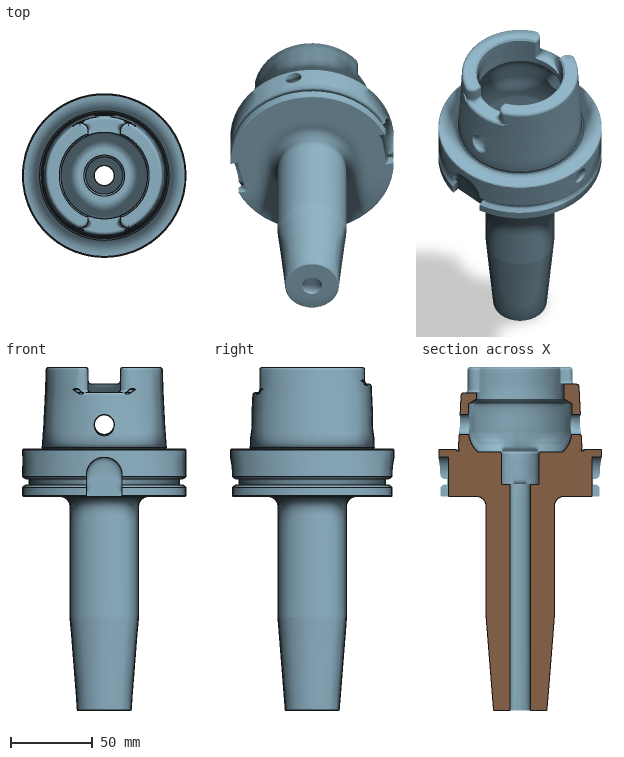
import cadquery as cq
import math


taper_height = 50.0
taper_base_radius = 38.0
taper_slope = 0.05
rim_fillet = 1.8

relief_top_z = 2.3
relief_lip_z = 1.0
relief_lip_radius = 38.0
relief_depth = 1.0
relief_neck_radius = 37.4
relief_outer_radius = 39.6

flange_radius = 50.0
flange_thickness = 29.0
flange_edge_chamfer = 0.5
groove_floor_radius = 46.0
groove_top_z = -18.3
groove_bottom_z = -21.8
groove_chamfer_radius = 48.0
groove_chamfer_height = 1.6

overall_reach = 160.0
shank_radius = 21.0
shank_fillet = 6.0
nose_radius = 16.5
nose_angle = 4.5
nose_chamfer = 0.5

bore_radius = 26.5
bore_end_z = 30.6
chamber_radius = 31.5
shoulder_angle = 30.0
arch_top_z = 11.0
arch_radius = 17.0
foot_angle = 45.0
foot_fillet = 2.0
bore_floor_z = (
    arch_top_z
    - (arch_radius - foot_fillet) * math.sin(math.radians(foot_angle))
    - foot_fillet
)
bore_mouth_chamfer = 1.0
tube_hole_radius = 11.4
tube_hole_chamfer = 1.1
tube_hole_depth = 20.0
through_hole_radius = 6.1

slot_half_width = 9.8
slot_corner_radius = 5.0
slot_shoulder_y = 32.1
slot_floor_fillet = 1.8
slot_floor_chamfer = 0.8
runout_half_width = 19.0
runout_floor_half_width = 14.0
runout_reach = 1.5
runout_rise = 4.0
slot_floors = {-1: 34.6, 1: 39.9}
selection_margin = 0.1

access_hole_radius = 6.0
access_hole_z = 15.0
access_countersink = 0.2

keyway_radius = 11.0
keyway_floor_y = 44.0
keyway_top_z = -5.0

chip_pocket_radius = 5.0
chip_pocket_z = -7.3
chip_pocket_depth = 5.0


def taper_radius(z):
    return taper_base_radius - taper_slope * z


def make_body():
    """Solid of revolution: taper, relief groove, flange, shank and nose."""
    flange_bottom = -flange_thickness
    nose_length = (shank_radius - nose_radius) / math.tan(math.radians(nose_angle))
    fillet_middle = shank_fillet * (1 - math.sqrt(0.5))
    profile = (
        cq.Workplane("XZ")
        .moveTo(0, taper_height)
        .lineTo(taper_radius(taper_height), taper_height)
        .lineTo(taper_radius(relief_top_z), relief_top_z)
        .lineTo(relief_lip_radius, relief_lip_z)
        .lineTo(relief_neck_radius, -relief_depth)
        .lineTo(relief_outer_radius - relief_depth, -relief_depth)
        .lineTo(relief_outer_radius, 0)
        .lineTo(flange_radius - flange_edge_chamfer, 0)
        .lineTo(flange_radius, -flange_edge_chamfer)
        .lineTo(flange_radius, groove_top_z + groove_chamfer_height)
        .lineTo(groove_chamfer_radius, groove_top_z)
        .lineTo(groove_floor_radius, groove_top_z)
        .lineTo(groove_floor_radius, groove_bottom_z)
        .lineTo(groove_chamfer_radius, groove_bottom_z)
        .lineTo(flange_radius, groove_bottom_z - groove_chamfer_height)
        .lineTo(flange_radius, flange_bottom + flange_edge_chamfer)
        .lineTo(flange_radius - flange_edge_chamfer, flange_bottom)
        .lineTo(shank_radius + shank_fillet, flange_bottom)
        .threePointArc(
            (shank_radius + fillet_middle, flange_bottom - fillet_middle),
            (shank_radius, flange_bottom - shank_fillet),
        )
        .lineTo(shank_radius, nose_length - overall_reach)
        .lineTo(nose_radius, nose_chamfer - overall_reach)
        .lineTo(nose_radius - nose_chamfer, -overall_reach)
        .lineTo(0, -overall_reach)
        .close()
    )
    seam_turn = -90
    return profile.revolve(360, (0, 0, 0), (0, 1, 0)).rotate((0, 0, 0), (0, 0, 1), seam_turn)


def make_slot_cutter(side, floor_z):
    """Driving slot on the -Y (side = -1) or +Y (side = 1) half of the rim."""
    corner_y = slot_shoulder_y - slot_corner_radius
    shoulder_x = slot_half_width + slot_corner_radius
    arc_offset = slot_corner_radius * (1 - math.sqrt(0.5))
    arc_x = slot_half_width + arc_offset
    arc_y = slot_shoulder_y - arc_offset
    cutter = (
        cq.Workplane("XY")
        .workplane(offset=floor_z)
        .moveTo(-slot_half_width, 0)
        .lineTo(-slot_half_width, side * corner_y)
        .threePointArc((-arc_x, side * arc_y), (-shoulder_x, side * slot_shoulder_y))
        .lineTo(-taper_base_radius, side * slot_shoulder_y)
        .lineTo(-taper_base_radius, side * flange_radius)
        .lineTo(taper_base_radius, side * flange_radius)
        .lineTo(taper_base_radius, side * slot_shoulder_y)
        .lineTo(shoulder_x, side * slot_shoulder_y)
        .threePointArc((arc_x, side * arc_y), (slot_half_width, side * corner_y))
        .lineTo(slot_half_width, 0)
        .close()
        .extrude(taper_height)
    )
    wall_feet = cq.selectors.BoxSelector(
        (-taper_base_radius + 1, side * 1, floor_z - 1),
        (taper_base_radius - 1, side * (slot_shoulder_y + 1), floor_z + 1),
    )
    return cutter.edges(wall_feet).fillet(slot_floor_fillet)


def make_bore():
    """Pocket for the clamping unit: a plain bore above a wider chamber with an arched, filleted foot."""
    shoulder_height = (chamber_radius - bore_radius) * math.tan(math.radians(shoulder_angle))
    cos_foot = math.cos(math.radians(foot_angle))
    sin_foot = math.sin(math.radians(foot_angle))
    half_turn = math.radians(foot_angle / 2)
    arch_middle = (
        chamber_radius - arch_radius * (1 - math.cos(half_turn)),
        arch_top_z - arch_radius * math.sin(half_turn),
    )
    arch_end = (
        chamber_radius - arch_radius * (1 - cos_foot),
        arch_top_z - arch_radius * sin_foot,
    )
    fillet_center = (
        arch_end[0] - foot_fillet * cos_foot,
        bore_floor_z + foot_fillet,
    )
    fillet_turn = math.radians((90 + foot_angle) / 2)
    fillet_middle = (
        fillet_center[0] + foot_fillet * math.cos(fillet_turn),
        fillet_center[1] - foot_fillet * math.sin(fillet_turn),
    )
    return (
        cq.Workplane("XZ")
        .moveTo(0, taper_height)
        .lineTo(bore_radius, taper_height)
        .lineTo(bore_radius, bore_end_z)
        .lineTo(chamber_radius, bore_end_z - shoulder_height)
        .lineTo(chamber_radius, arch_top_z)
        .threePointArc(arch_middle, arch_end)
        .threePointArc(fillet_middle, (fillet_center[0], bore_floor_z))
        .lineTo(0, bore_floor_z)
        .close()
        .revolve(360, (0, 0, 0), (0, 1, 0))
    )


def make_bore_mouth():
    """Chamfer of the bore at the rim."""
    return (
        cq.Workplane("XZ")
        .moveTo(0, taper_height)
        .lineTo(bore_radius + bore_mouth_chamfer, taper_height)
        .lineTo(bore_radius, taper_height - bore_mouth_chamfer)
        .lineTo(0, taper_height - bore_mouth_chamfer)
        .close()
        .revolve(360, (0, 0, 0), (0, 1, 0))
    )


def make_coolant_bore():
    """Coolant tube hole in the pocket floor and the hole running on through the nose."""
    tube_hole_floor_z = bore_floor_z - tube_hole_depth
    return (
        cq.Workplane("XZ")
        .moveTo(0, bore_floor_z)
        .lineTo(tube_hole_radius + tube_hole_chamfer, bore_floor_z)
        .lineTo(tube_hole_radius, bore_floor_z - tube_hole_chamfer)
        .lineTo(tube_hole_radius, tube_hole_floor_z)
        .lineTo(through_hole_radius, tube_hole_floor_z)
        .lineTo(through_hole_radius, -overall_reach)
        .lineTo(0, -overall_reach)
        .close()
        .revolve(360, (0, 0, 0), (0, 1, 0))
    )


def make_access_hole(side):
    """Radial hole in the taper wall, countersunk most at its lower lip, where the wall is thickest."""
    upper_lip_y = taper_radius(access_hole_z + access_hole_radius)
    countersink_y = upper_lip_y - access_countersink
    flare = taper_base_radius - countersink_y
    return (
        cq.Workplane("XY", origin=(0, 0, access_hole_z))
        .lineTo(access_hole_radius, 0)
        .lineTo(access_hole_radius, side * countersink_y)
        .lineTo(access_hole_radius + flare, side * taper_base_radius)
        .lineTo(0, side * taper_base_radius)
        .close()
        .revolve(360, (0, 0, 0), (0, 1, 0))
    )


def make_keyway(side):
    """Round-topped keyway in the flange rim, open at the flange underside."""
    arc_center_z = keyway_top_z - keyway_radius
    return (
        cq.Workplane("XZ", origin=(0, side * keyway_floor_y, 0))
        .moveTo(-keyway_radius, -flange_thickness)
        .lineTo(-keyway_radius, arc_center_z)
        .threePointArc((0, keyway_top_z), (keyway_radius, arc_center_z))
        .lineTo(keyway_radius, -flange_thickness)
        .close()
        .extrude(-side * (flange_radius - keyway_floor_y))
    )


def make_chip_pocket():
    return (
        cq.Workplane("YZ", origin=(-flange_radius, 0, chip_pocket_z))
        .circle(chip_pocket_radius)
        .extrude(chip_pocket_depth)
    )


def round_slot_mouths(body):
    """Round the rim edges above the slot walls, leaving the bore edge sharp."""
    wall_start_y = slot_shoulder_y - 2 * slot_corner_radius
    for side in slot_floors:
        wall_tops = cq.selectors.BoxSelector(
            (-taper_base_radius, side * wall_start_y, taper_height - selection_margin),
            (taper_base_radius, side * taper_base_radius, taper_height + selection_margin),
        )
        body = body.edges(wall_tops).fillet(rim_fillet)
    return body


def make_slot_runout(side, floor_z):
    """Turned recess that breaks the edge where a slot floor and its fillets leave the taper."""
    inner_radius = taper_radius(floor_z) - slot_floor_chamfer
    fillet_top_z = floor_z + slot_floor_fillet
    overshoot = flange_radius - inner_radius
    ring = (
        cq.Workplane("XZ")
        .moveTo(inner_radius, floor_z)
        .lineTo(inner_radius, fillet_top_z)
        .lineTo(flange_radius, fillet_top_z + overshoot)
        .lineTo(flange_radius, floor_z - overshoot)
        .close()
        .revolve(360, (0, 0, 0), (0, 1, 0))
    )
    window = (
        cq.Workplane("XZ")
        .moveTo(-runout_floor_half_width, floor_z - runout_reach)
        .lineTo(-runout_half_width, fillet_top_z)
        .lineTo(-runout_floor_half_width, fillet_top_z + runout_rise)
        .lineTo(runout_floor_half_width, fillet_top_z + runout_rise)
        .lineTo(runout_half_width, fillet_top_z)
        .lineTo(runout_floor_half_width, floor_z - runout_reach)
        .close()
        .extrude(-side * flange_radius)
    )
    return ring.intersect(window)


body = make_body().faces(">Z").edges().fillet(rim_fillet)

for side, floor_z in slot_floors.items():
    body = body.cut(make_slot_cutter(side, floor_z))
body = body.cut(make_bore())
body = round_slot_mouths(body)
for side, floor_z in slot_floors.items():
    body = body.cut(make_slot_runout(side, floor_z))
body = body.cut(make_bore_mouth()).cut(make_coolant_bore())
for side in slot_floors:
    body = body.cut(make_access_hole(side)).cut(make_keyway(side))
result = body.cut(make_chip_pocket())